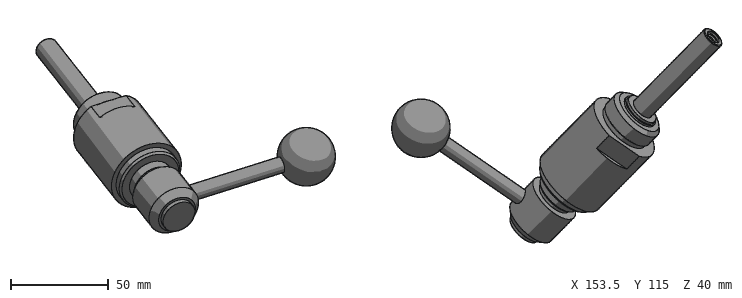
import cadquery as cq
import math


NUT_START = 59.7
NUT_END = 69.0
NUT_RADIUS = 15.0
NUT_CHAMFER = 2.0
BODY_START = 71.8
BODY_END = 115.5
BODY_RADIUS = 40.0 / 2
GROOVE_RADIUS = 28.4 / 2
FLAT_LENGTH = 10.1
FLAT_HEIGHT = 17.3
FLANGE_END = 120.0
FLANGE_RADIUS = 17.3
FLANGE_CHAMFER = 1.0
HOUSING_END = 126.0
COLLAR_RADIUS = 12.0
COLLAR_CHAMFER = 0.9

PIN_RADIUS = 6.0
PIN_CHAMFER = 0.5
PIN_END = 57.3
SHOULDER_RADIUS = 18.3 / 2
SHAFT_START = 58.6
SHAFT_RADIUS = 10.0
NECK_RADIUS = 8.9
NECK_ARC = SHAFT_RADIUS - NECK_RADIUS
NECK_ARC_END = HOUSING_END + NECK_ARC
HEAD_START = 128.2
HEAD_END = 150.6
HEAD_RADIUS = GROOVE_RADIUS
HEAD_CHAMFER = 3.7
BUTTON_END = 152.9
BUTTON_RADIUS = SHOULDER_RADIUS

RECESS_RADIUS = 3.8
RECESS_DEPTH = 1.2
COUNTERSINK_RADIUS = 2.8
CENTRE_HOLE_RADIUS = 2.0
COUNTERSINK_DEPTH = COUNTERSINK_RADIUS - CENTRE_HOLE_RADIUS
CENTRE_HOLE_DEPTH = 9.2
DRILL_POINT_ANGLE = 118
DRILL_POINT_HEIGHT = CENTRE_HOLE_RADIUS / math.tan(math.radians(DRILL_POINT_ANGLE / 2))

OVERALL_LENGTH = 153.5
BALL_RADIUS = 15.0
BALL_Y = 80.0
LEVER_X = OVERALL_LENGTH - BALL_RADIUS
LEVER_RADIUS = 8.5 / 2


def turn(profile):
    """Close a profile lying above the X axis and revolve it about X."""
    return profile.close().revolve(360, (0, 0, 0), (1, 0, 0))


def cut_flats(blank):
    """Cut two parallel flats into the front end of the large diameter."""
    flat_depth = BODY_RADIUS - FLAT_HEIGHT
    for side in (-1, 1):
        cutter = cq.Workplane("XY").box(FLAT_LENGTH, 2 * BODY_RADIUS, flat_depth).translate(
            (BODY_START + FLAT_LENGTH / 2, 0, side * (FLAT_HEIGHT + flat_depth / 2))
        )
        blank = blank.cut(cutter)
    return blank


def make_housing():
    """Turned housing, bored through for the spindle."""
    blank = turn(
        cq.Workplane("XY")
        .moveTo(NUT_START, SHAFT_RADIUS)
        .lineTo(NUT_START, NUT_RADIUS - NUT_CHAMFER)
        .lineTo(NUT_START + NUT_CHAMFER, NUT_RADIUS)
        .lineTo(NUT_END, NUT_RADIUS)
        .lineTo(NUT_END, GROOVE_RADIUS)
        .lineTo(BODY_START, GROOVE_RADIUS)
        .lineTo(BODY_START, BODY_RADIUS)
        .lineTo(BODY_END, BODY_RADIUS)
        .lineTo(BODY_END, FLANGE_RADIUS)
        .lineTo(FLANGE_END - FLANGE_CHAMFER, FLANGE_RADIUS)
        .lineTo(FLANGE_END, FLANGE_RADIUS - FLANGE_CHAMFER)
        .lineTo(FLANGE_END, COLLAR_RADIUS)
        .lineTo(HOUSING_END - COLLAR_CHAMFER, COLLAR_RADIUS)
        .lineTo(HOUSING_END, COLLAR_RADIUS - COLLAR_CHAMFER)
        .lineTo(HOUSING_END, SHAFT_RADIUS)
    )
    return cut_flats(blank)


def make_spindle_core():
    """Turned pin, shaft, rounded neck, head and button, with the centre hole."""
    return turn(
        cq.Workplane("XY")
        .moveTo(CENTRE_HOLE_DEPTH + DRILL_POINT_HEIGHT, 0)
        .lineTo(CENTRE_HOLE_DEPTH, CENTRE_HOLE_RADIUS)
        .lineTo(RECESS_DEPTH + COUNTERSINK_DEPTH, CENTRE_HOLE_RADIUS)
        .lineTo(RECESS_DEPTH, COUNTERSINK_RADIUS)
        .lineTo(RECESS_DEPTH, RECESS_RADIUS)
        .lineTo(0, RECESS_RADIUS)
        .lineTo(0, PIN_RADIUS - PIN_CHAMFER)
        .lineTo(PIN_CHAMFER, PIN_RADIUS)
        .lineTo(PIN_END, PIN_RADIUS)
        .lineTo(PIN_END, SHOULDER_RADIUS)
        .lineTo(SHAFT_START, SHOULDER_RADIUS)
        .lineTo(SHAFT_START, SHAFT_RADIUS)
        .lineTo(HOUSING_END, SHAFT_RADIUS)
        .lineTo(HOUSING_END, NECK_RADIUS)
        .radiusArc((NECK_ARC_END, SHAFT_RADIUS), NECK_ARC)
        .lineTo(HEAD_START, SHAFT_RADIUS)
        .lineTo(HEAD_START, HEAD_RADIUS)
        .lineTo(HEAD_END - HEAD_CHAMFER, HEAD_RADIUS)
        .lineTo(HEAD_END, HEAD_RADIUS - HEAD_CHAMFER)
        .lineTo(HEAD_END, BUTTON_RADIUS)
        .lineTo(BUTTON_END, BUTTON_RADIUS)
        .lineTo(BUTTON_END, 0)
    )


def make_lever():
    """Round rod from the head axis to the centre of the ball."""
    rod = cq.Workplane("XZ", origin=(LEVER_X, 0, 0)).circle(LEVER_RADIUS).extrude(-BALL_Y)
    ball = cq.Workplane("XY").sphere(BALL_RADIUS).translate((LEVER_X, BALL_Y, 0))
    return rod.union(ball)


housing = make_housing()
spindle = make_spindle_core().union(make_lever())

result = cq.Compound.makeCompound([housing.solids().val(), spindle.solids().val()])